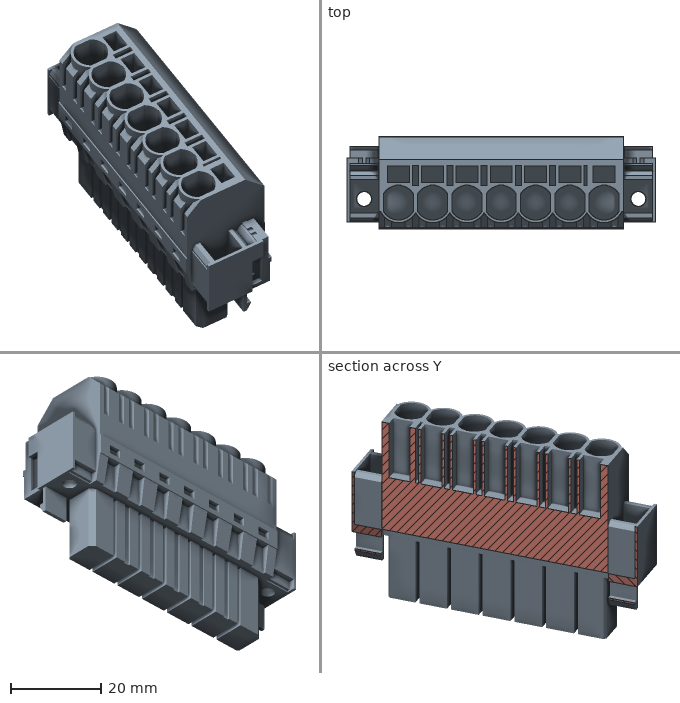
import cadquery as cq

POLES = 7
PITCH = 7.6
BLOCK_WIDTH = 54.3
BLOCK_TOP = 44.7
BLOCK_FRONT = -10.0
BLOCK_BACK = 10.1
FRONT_CHAMFER = 3.6
BACK_CHAMFER = 5.0

BAND_TOP = 27.2
BAND_BOTTOM = 22.3
BAND_HALF_DEPTH = 10.3

FOOT_BOTTOM = 15.5
FOOT_FRONT = -8.85
FOOT_BACK = 9.3
FOOT_BACK_BOTTOM = 17.55
FOOT_TOP_HALF_DEPTH = 10.0

FUNNEL_Y = -4.5
FUNNEL_RADIUS = 4.4
BORE_RADIUS = 3.85
BORE_WIDTH = 6.65
BORE_Y = -4.45
KEY_WIDTH = 0.95
KEY_DEPTH = 0.1
WELL_DEPTH = 13.7

SLOT_INNER = 1.5
SLOT_OUTER = 3.1
SLOT_FLOOR = 33.6

ACTUATOR_WIDTH = 4.9
ACTUATOR_FRONT = 0.1
ACTUATOR_BACK = 3.65
TEST_SLOT_WIDTH = 1.3
TEST_SLOT_FRONT = -0.7
TEST_SLOT_BACK = 3.85

WINDOW_WIDTH = 3.1
WINDOW_BOTTOM = 23.5
WINDOW_HEIGHT = 2.1
WINDOW_DEPTH = 1.2

RECESS_Y = -8.2
RECESS_TOP_WIDTH = 3.5
RECESS_BOTTOM_WIDTH = 3.85

PRONG_WIDTH = 6.65
PRONG_FRONT = -6.4
PRONG_BACK = 1.4
PRONG_GROOVE_WIDTH = 1.45
PRONG_GROOVE_DEPTH = 0.4
PRONG_CHAMFER_X = 1.3
PRONG_CHAMFER_Y = 1.1
PRONG_BACK_CHAMFER = 0.55

OVERALL_WIDTH = 68.6
FLANGE_OUTER = OVERALL_WIDTH / 2
FLANGE_INNER = BLOCK_WIDTH / 2
FLANGE_BOTTOM = FOOT_BOTTOM
FLANGE_TOP = 30.7
FLANGE_FRONT = -8.8
FLANGE_BACK = 5.5
SIDE_WALL = 0.7
INNER_CLEARANCE = 0.15
FLOOR_TOP = 17.55
FLOOR_BACK = 2.6
FRONT_WALL_INSIDE = -6.7

LIP_DEPTH = 0.2
LIP_BOTTOM = 28.9
LIP_TOP = 29.5
LIP_TOP_Y = -7.9
FRONT_WALL_TOP = 30.6
UNDERCUT_TOP = 18.0
UNDERCUT_BOTTOM = 15.85
UNDERCUT_DEPTH = 1.4

REAR_WALL_FRONT = 4.25
NOTCH_WIDTH = 0.8
NOTCH_DEPTH = 0.7
NOTCH_WEB = 0.75
OPENING_TOP = 25.6

LEDGE_FRONT = 3.8
LEDGE_TOP = 30.4
CATCH_TIP = 2.8
CATCH_TIP_Z = 29.0
CATCH_FOOT = 3.65
CATCH_SETBACK = 1.1
CATCH_POCKET_DEPTH = 0.55
CATCH_POCKET_BACK = 4.3
CATCH_POCKET_BOTTOM = 18.6

COVER_TOP = 30.65
COVER_UPPER_BACK = 7.2
COVER_RIDGE_BACK = 8.0
COVER_LOWER_BACK = 7.6
COVER_RIDGE_TOP = 23.3
COVER_RIDGE_BOTTOM = 21.8
COVER_SILL_TOP = 16.65

ARM_FRONT = 0.7
ARM_BACK = 1.6
ARM_BOTTOM = 9.1
ARM_TOP = 30.3
HANDLE_BACK = 2.55
HANDLE_CHAMFER = 0.95
HOOK_TIP = 2.6
HOOK_TOP = 11.45
HOOK_TIP_BOTTOM = 11.0

HOLE_X = 30.45
HOLE_Y = -3.65
HOLE_RADIUS = 1.65


def box(x0, x1, y0, y1, z0, z1):
    """Axis-aligned block given by its limits."""
    return cq.Workplane("XY").box(x1 - x0, y1 - y0, z1 - z0, centered=False).translate((x0, y0, z0))


def side_profile(points, x0, x1):
    """Extrude a closed (y, z) outline from x0 to x1."""
    return cq.Workplane("YZ").polyline(points).close().extrude(x1 - x0).translate((x0, 0, 0))


pole_positions = [(i - (POLES - 1) / 2) * PITCH for i in range(POLES)]


def block_shell():
    """Outer shape of the block: chamfered back, raised band and tapered foot."""
    outline = [
        (BLOCK_FRONT, BLOCK_TOP),
        (BLOCK_FRONT, BAND_TOP),
        (-BAND_HALF_DEPTH, BAND_TOP),
        (-BAND_HALF_DEPTH, BAND_BOTTOM),
        (-FOOT_TOP_HALF_DEPTH, BAND_BOTTOM),
        (FOOT_FRONT, FOOT_BOTTOM),
        (PRONG_BACK, FOOT_BOTTOM),
        (PRONG_BACK, FOOT_BACK_BOTTOM),
        (FOOT_BACK, FOOT_BACK_BOTTOM),
        (FOOT_TOP_HALF_DEPTH, BAND_BOTTOM),
        (BAND_HALF_DEPTH, BAND_BOTTOM),
        (BAND_HALF_DEPTH, BAND_TOP),
        (BLOCK_BACK, BAND_TOP),
        (BLOCK_BACK, BLOCK_TOP - BACK_CHAMFER),
        (BLOCK_BACK - BACK_CHAMFER, BLOCK_TOP),
    ]
    return side_profile(outline, -BLOCK_WIDTH / 2, BLOCK_WIDTH / 2)


def funnel(x):
    """Round outside of one conductor funnel."""
    height = BLOCK_TOP - SLOT_FLOOR
    return cq.Workplane("XY", origin=(x, FUNNEL_Y, SLOT_FLOOR)).circle(FUNNEL_RADIUS).extrude(height)


def front_slots(x):
    """The two slots beside the front rib of a funnel."""
    left = box(x - SLOT_OUTER, x - SLOT_INNER, -BAND_HALF_DEPTH, FUNNEL_Y, SLOT_FLOOR, BLOCK_TOP)
    right = box(x + SLOT_INNER, x + SLOT_OUTER, -BAND_HALF_DEPTH, FUNNEL_Y, SLOT_FLOOR, BLOCK_TOP)
    return left.union(right)


def front_relief():
    """Everything cut away around the funnels: the front chamfer and the slots."""
    chamfer = [
        (BLOCK_FRONT, BLOCK_TOP - FRONT_CHAMFER),
        (BLOCK_FRONT + FRONT_CHAMFER, BLOCK_TOP),
        (BLOCK_FRONT, BLOCK_TOP),
    ]
    relief = side_profile(chamfer, -BLOCK_WIDTH / 2, BLOCK_WIDTH / 2)
    for x in pole_positions:
        relief = relief.union(front_slots(x))
    for x in pole_positions:
        relief = relief.cut(funnel(x))
    return relief


def conductor_bore(x):
    """Round bore with flat left and right sides and a shallow keyway at the back."""
    bottom = BLOCK_TOP - WELL_DEPTH
    bore = cq.Workplane("XY", origin=(x, BORE_Y, bottom)).circle(BORE_RADIUS).extrude(WELL_DEPTH)
    half = BORE_WIDTH / 2
    flats = box(x - half, x + half, BORE_Y - BORE_RADIUS, BORE_Y + BORE_RADIUS, bottom, BLOCK_TOP)
    key_half = KEY_WIDTH / 2
    key_back = BORE_Y + BORE_RADIUS + KEY_DEPTH
    keyway = box(x - key_half, x + key_half, BORE_Y, key_back, bottom, BLOCK_TOP)
    return bore.intersect(flats).union(keyway)


def actuator_well(x):
    """Rectangular well behind a bore."""
    half = ACTUATOR_WIDTH / 2
    return box(x - half, x + half, ACTUATOR_FRONT, ACTUATOR_BACK, BLOCK_TOP - WELL_DEPTH, BLOCK_TOP)


def test_slot(x0, x1):
    """Narrow slot between two poles."""
    return box(x0, x1, TEST_SLOT_FRONT, TEST_SLOT_BACK, BLOCK_TOP - WELL_DEPTH, BLOCK_TOP)


def band_window(x):
    """Shallow window in the front of the band."""
    half = WINDOW_WIDTH / 2
    front = -BAND_HALF_DEPTH
    top = WINDOW_BOTTOM + WINDOW_HEIGHT
    return box(x - half, x + half, front, front + WINDOW_DEPTH, WINDOW_BOTTOM, top)


def foot_recess(x):
    """Recess in the tapered foot, slightly wider at the bottom."""
    top_half = RECESS_TOP_WIDTH / 2
    bottom_half = RECESS_BOTTOM_WIDTH / 2
    outline = [
        (x - bottom_half, FOOT_BOTTOM),
        (x + bottom_half, FOOT_BOTTOM),
        (x + top_half, BAND_BOTTOM),
        (x - top_half, BAND_BOTTOM),
    ]
    depth = RECESS_Y + BAND_HALF_DEPTH
    return cq.Workplane("XZ", origin=(0, RECESS_Y, 0)).polyline(outline).close().extrude(depth)


def inner_prong(x):
    """Prong with a groove down its front."""
    half = PRONG_WIDTH / 2
    groove_half = PRONG_GROOVE_WIDTH / 2
    prong = box(x - half, x + half, PRONG_FRONT, PRONG_BACK, 0, FOOT_BOTTOM)
    groove = box(
        x - groove_half, x + groove_half,
        PRONG_FRONT, PRONG_FRONT + PRONG_GROOVE_DEPTH, 0, FOOT_BOTTOM,
    )
    return prong.cut(groove)


def end_prong(x, outward):
    """Prong at an end of the row, with chamfered outer edges; outward is -1 or 1."""
    outer = x + outward * PRONG_WIDTH / 2
    inner = x - outward * PRONG_WIDTH / 2
    outline = [
        (inner, PRONG_FRONT),
        (outer - outward * PRONG_CHAMFER_X, PRONG_FRONT),
        (outer, PRONG_FRONT + PRONG_CHAMFER_Y),
        (outer, PRONG_BACK - PRONG_BACK_CHAMFER),
        (outer - outward * PRONG_BACK_CHAMFER, PRONG_BACK),
        (inner, PRONG_BACK),
    ]
    return cq.Workplane("XY").polyline(outline).close().extrude(FOOT_BOTTOM)


def terminal_block():
    block = block_shell().cut(front_relief())
    for x in pole_positions:
        block = block.cut(conductor_bore(x))
        block = block.cut(actuator_well(x))
        block = block.cut(band_window(x))
        block = block.cut(foot_recess(x))
    for x in pole_positions[:-1]:
        middle = x + PITCH / 2
        left = middle - TEST_SLOT_WIDTH / 2
        right = middle if x == pole_positions[-2] else middle + TEST_SLOT_WIDTH / 2
        block = block.cut(test_slot(left, right))
    for x in pole_positions[1:-1]:
        block = block.union(inner_prong(x))
    block = block.union(end_prong(pole_positions[0], -1))
    block = block.union(end_prong(pole_positions[-1], 1))
    return block


INSET_LEFT = -FLANGE_OUTER + SIDE_WALL
INSET_RIGHT = -FLANGE_INNER - INNER_CLEARANCE


def flange_side_wall():
    """Thin outer wall with an opening at its lower back corner."""
    outline = [
        (FLANGE_FRONT, FLANGE_BOTTOM),
        (FLOOR_BACK, FLANGE_BOTTOM),
        (FLOOR_BACK, OPENING_TOP),
        (FLANGE_BACK, OPENING_TOP),
        (FLANGE_BACK, FLANGE_TOP),
        (FLANGE_FRONT, FLANGE_TOP),
    ]
    return side_profile(outline, -FLANGE_OUTER, INSET_LEFT)


def flange_floor():
    """Floor with its screw hole."""
    floor = box(INSET_LEFT, -FLANGE_INNER, FRONT_WALL_INSIDE, FLOOR_BACK, FLANGE_BOTTOM, FLOOR_TOP)
    hole = cq.Workplane("XY", origin=(-HOLE_X, HOLE_Y, FLANGE_BOTTOM)).circle(HOLE_RADIUS)
    return floor.cut(hole.extrude(FLOOR_TOP - FLANGE_BOTTOM))


def flange_front_wall():
    """Front wall with a chamfered lip at the top and an undercut at the bottom."""
    outline = [
        (FRONT_WALL_INSIDE, UNDERCUT_BOTTOM),
        (FLANGE_FRONT + UNDERCUT_DEPTH, UNDERCUT_BOTTOM),
        (FLANGE_FRONT + UNDERCUT_DEPTH, UNDERCUT_TOP),
        (FLANGE_FRONT, UNDERCUT_TOP),
        (FLANGE_FRONT, LIP_BOTTOM),
        (FLANGE_FRONT + LIP_DEPTH, LIP_BOTTOM),
        (FLANGE_FRONT + LIP_DEPTH, LIP_TOP),
        (LIP_TOP_Y, FRONT_WALL_TOP),
        (FRONT_WALL_INSIDE, FRONT_WALL_TOP),
    ]
    return side_profile(outline, INSET_LEFT, -FLANGE_INNER)


def flange_rear_wall():
    """Rear wall with two notches and a low web between them in its top edge."""
    wall = box(INSET_LEFT, -FLANGE_INNER, REAR_WALL_FRONT, FLANGE_BACK, OPENING_TOP, FLANGE_TOP)
    notch_half = NOTCH_WEB / 2 + NOTCH_WIDTH
    web_half = NOTCH_WEB / 2
    notches = box(
        -HOLE_X - notch_half, -HOLE_X + notch_half,
        REAR_WALL_FRONT, FLANGE_BACK, FLANGE_TOP - NOTCH_DEPTH, FLANGE_TOP,
    )
    web = box(
        -HOLE_X - web_half, -HOLE_X + web_half,
        REAR_WALL_FRONT, FLANGE_BACK, FLANGE_TOP - NOTCH_DEPTH, COVER_TOP,
    )
    return wall.cut(notches).union(web)


def flange_catch():
    """Catch in front of the rear wall: sloped on top, drawn back towards its foot."""
    outline = [
        (REAR_WALL_FRONT, LEDGE_TOP),
        (LEDGE_FRONT, LEDGE_TOP),
        (CATCH_TIP, CATCH_TIP_Z),
        (CATCH_FOOT, COVER_SILL_TOP),
        (FLANGE_BACK, COVER_SILL_TOP),
        (FLANGE_BACK, OPENING_TOP),
        (REAR_WALL_FRONT, OPENING_TOP),
    ]
    catch = side_profile(outline, INSET_LEFT, INSET_RIGHT)
    setback_x = INSET_LEFT + CATCH_SETBACK
    setback = box(INSET_LEFT, setback_x, CATCH_TIP, FLANGE_BACK, COVER_SILL_TOP, OPENING_TOP)
    pocket = box(
        setback_x, setback_x + CATCH_POCKET_DEPTH,
        CATCH_TIP, CATCH_POCKET_BACK, CATCH_POCKET_BOTTOM, OPENING_TOP,
    )
    return catch.cut(setback).cut(pocket)


def flange_cover():
    """Rear cover with a ridge across its back and a sill reaching forward to the floor."""
    outline = [
        (FLANGE_BACK, COVER_TOP),
        (COVER_UPPER_BACK, COVER_TOP),
        (COVER_UPPER_BACK, COVER_RIDGE_TOP),
        (COVER_RIDGE_BACK, COVER_RIDGE_TOP),
        (COVER_RIDGE_BACK, COVER_RIDGE_BOTTOM),
        (COVER_LOWER_BACK, COVER_RIDGE_BOTTOM),
        (COVER_LOWER_BACK, FLANGE_BOTTOM),
        (FLOOR_BACK, FLANGE_BOTTOM),
        (FLOOR_BACK, COVER_SILL_TOP),
        (FLANGE_BACK, COVER_SILL_TOP),
    ]
    return side_profile(outline, INSET_LEFT, INSET_RIGHT)


def latch_arm():
    """Latch lever: chamfered handle above the floor, hooked tongue below it."""
    outline = [
        (ARM_FRONT, ARM_BOTTOM),
        (ARM_FRONT, ARM_TOP),
        (HANDLE_BACK - HANDLE_CHAMFER, ARM_TOP),
        (HANDLE_BACK, ARM_TOP - HANDLE_CHAMFER),
        (HANDLE_BACK, FLOOR_TOP),
        (ARM_BACK, FLOOR_TOP),
        (ARM_BACK, HOOK_TOP),
        (HOOK_TIP, HOOK_TOP),
        (HOOK_TIP, HOOK_TIP_BOTTOM),
        (ARM_BACK, ARM_BOTTOM),
    ]
    return side_profile(outline, INSET_LEFT, INSET_RIGHT)


def locking_flange():
    flange = flange_side_wall()
    flange = flange.union(flange_floor())
    flange = flange.union(flange_front_wall())
    flange = flange.union(flange_rear_wall())
    flange = flange.union(flange_catch())
    flange = flange.union(flange_cover())
    return flange.union(latch_arm())


block = terminal_block()
left_flange = locking_flange()
right_flange = left_flange.mirror("YZ")

result = cq.Compound.makeCompound([block.val(), left_flange.val(), right_flange.val()])